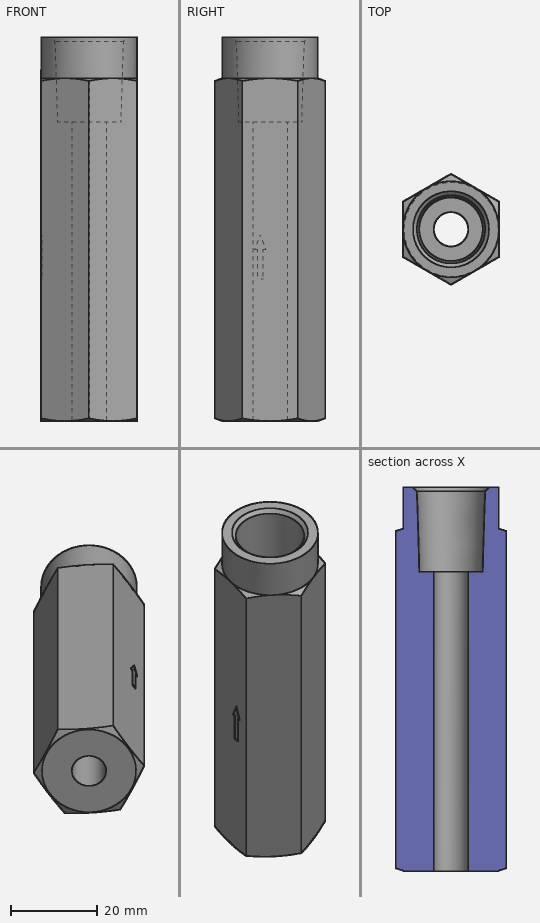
import cadquery as cq
import math

hex_sides = 6
across_flats = 22.2
total_height = 88.9
collar_height = 9.5
hex_height = total_height - collar_height
across_corners = across_flats / math.cos(math.pi / hex_sides)

corner_chamfer_angle = 20.0
top_trim_diameter = across_flats
bottom_trim_diameter = 21.8
envelope_clearance = 0.9

mouth_diameter = 17.6
mouth_depth = 0.9
socket_top_diameter = 15.8
socket_floor_diameter = 14.7
socket_depth = 19.6
through_diameter = 7.9

arrow_center_y = -2.3
arrow_tail_z = 33.0
arrow_length = 10.1
arrow_head_length = 3.3
arrow_head_width = 2.6
arrow_shaft_width = 1.25
arrow_depth = 0.2


def revolve_profile(points):
    """Revolve a closed (radius, height) outline about the Z axis."""
    return cq.Workplane("XZ").polyline(points).close().revolve(360, (0, 0, 0), (0, 1, 0))


def hexagon_body():
    """Hexagonal bar with two flats facing X and conical trims on both ends."""
    bar = (
        cq.Workplane("XY")
        .polygon(hex_sides, across_corners)
        .extrude(hex_height)
        .rotate((0, 0, 0), (0, 0, 1), 180 / hex_sides)
    )
    slope = math.tan(math.radians(corner_chamfer_angle))
    outer_radius = across_corners / 2 + envelope_clearance
    bottom_radius = bottom_trim_diameter / 2
    top_radius = top_trim_diameter / 2
    envelope = revolve_profile([
        (0, 0),
        (bottom_radius, 0),
        (outer_radius, (outer_radius - bottom_radius) * slope),
        (outer_radius, hex_height - (outer_radius - top_radius) * slope),
        (top_radius, hex_height),
        (0, hex_height),
    ])
    return bar.intersect(envelope)


def collar():
    """Round collar on top of the hexagon, as wide as its flats."""
    return cq.Workplane("XY").workplane(offset=hex_height).circle(across_flats / 2).extrude(collar_height)


def socket():
    """Socket from the top: chamfered mouth, then a slightly tapered wall to a flat floor."""
    return revolve_profile([
        (0, total_height),
        (mouth_diameter / 2, total_height),
        (socket_top_diameter / 2, total_height - mouth_depth),
        (socket_floor_diameter / 2, total_height - socket_depth),
        (0, total_height - socket_depth),
    ])


def through_hole():
    """Bore along the whole length."""
    return cq.Workplane("XY").circle(through_diameter / 2).extrude(total_height)


def flow_arrow():
    """Shallow arrow-shaped recess in the flat facing -X."""
    shaft = arrow_shaft_width / 2
    head = arrow_head_width / 2
    head_base = arrow_length - arrow_head_length
    return (
        cq.Workplane("YZ", origin=(-across_flats / 2, arrow_center_y, arrow_tail_z))
        .polyline([
            (-shaft, 0),
            (shaft, 0),
            (shaft, head_base),
            (head, head_base),
            (0, arrow_length),
            (-head, head_base),
            (-shaft, head_base),
        ])
        .close()
        .extrude(arrow_depth)
    )


result = (
    hexagon_body()
    .union(collar())
    .cut(socket())
    .cut(through_hole())
    .cut(flow_arrow())
)